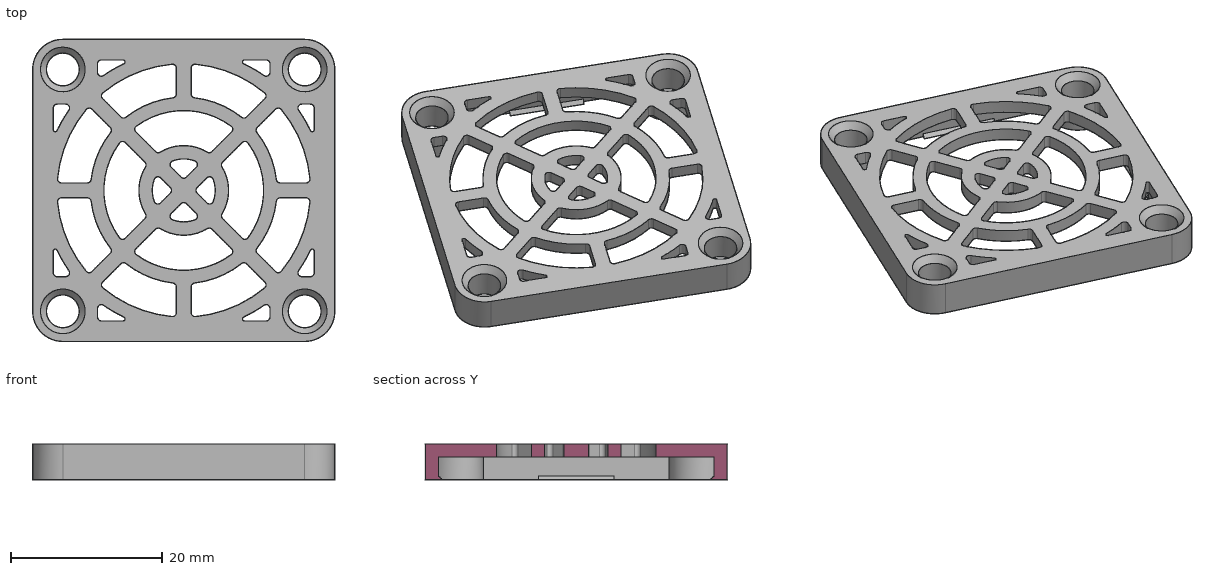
import cadquery as cq
import math

side = 40.0
height = 4.75
corner_radius = 4.0
plate_thickness = 1.75
wall_thickness = 1.8

screw_offset = side / 2 - corner_radius
screw_diameter = 4.3
countersink_diameter = 5.9
countersink_angle = 80.0
boss_radius = 3.75

rib_width = 1.8
hub_opening_radius = 4.15
middle_opening_radius = 10.55
outer_opening_radius = 16.75
spoke_width = 2.0
opening_fillet = 0.5

corner_opening_end = 11.4
corner_opening_side = 17.25
corner_opening_tip_fillet = 0.25

lip_length = 10.0
lip_depth = 0.5

spoke_half = spoke_width / 2
pocket_half = side / 2 - wall_thickness
pocket_height = height - plate_thickness
quarter_turns = (0, 90, 180, 270)
z_axis = ((0, 0, 0), (0, 0, 1))


def around(shape):
    """Return four copies of a shape, a quarter turn apart about Z."""
    copies = cq.Workplane("XY")
    for angle in quarter_turns:
        copies = copies.add(shape.rotate(*z_axis, angle).vals())
    return copies


def polar(radius, angle):
    """Return the point at a radius and an angle in degrees."""
    return (radius * math.cos(math.radians(angle)), radius * math.sin(math.radians(angle)))


def on_circle_beside_spoke(radius, spoke_angle, spoke_offset):
    """Return where a circle meets the edge of a spoke, offset to the left of its axis."""
    return polar(radius, spoke_angle + math.degrees(math.asin(spoke_offset / radius)))


def ring_opening(inner_radius, outer_radius, start_angle, end_angle):
    """Cutter for a ring sector between the spokes at two angles."""
    middle_angle = (start_angle + end_angle) / 2
    return (
        cq.Workplane("XY")
        .moveTo(*on_circle_beside_spoke(inner_radius, start_angle, spoke_half))
        .lineTo(*on_circle_beside_spoke(outer_radius, start_angle, spoke_half))
        .threePointArc(
            polar(outer_radius, middle_angle),
            on_circle_beside_spoke(outer_radius, end_angle, -spoke_half),
        )
        .lineTo(*on_circle_beside_spoke(inner_radius, end_angle, -spoke_half))
        .threePointArc(
            polar(inner_radius, middle_angle),
            on_circle_beside_spoke(inner_radius, start_angle, spoke_half),
        )
        .close()
        .extrude(height)
        .edges("|Z")
        .fillet(opening_fillet)
    )


def hub_opening():
    """Cutter for the round-backed triangle between two diagonal spokes, on the +X side."""
    end = on_circle_beside_spoke(hub_opening_radius, 45, -spoke_half)
    return (
        cq.Workplane("XY")
        .moveTo(spoke_half * math.sqrt(2), 0)
        .lineTo(end[0], -end[1])
        .threePointArc((hub_opening_radius, 0), end)
        .close()
        .extrude(height)
        .edges("|Z")
        .fillet(opening_fillet)
    )


def corner_opening():
    """Cutter for the small opening along the +Y side, next to the +X+Y screw hole."""
    arc_radius = outer_opening_radius + rib_width
    tip_x = math.sqrt(arc_radius**2 - corner_opening_side**2)
    end_y = math.sqrt(arc_radius**2 - corner_opening_end**2)
    middle_angle = math.degrees(math.atan2(corner_opening_side + end_y, tip_x + corner_opening_end))
    return (
        cq.Workplane("XY")
        .moveTo(tip_x, corner_opening_side)
        .lineTo(corner_opening_end, corner_opening_side)
        .lineTo(corner_opening_end, end_y)
        .threePointArc(polar(arc_radius, middle_angle), (tip_x, corner_opening_side))
        .close()
        .extrude(height)
        .edges("|Z and >X")
        .fillet(opening_fillet)
        .edges("|Z and <X")
        .fillet(corner_opening_tip_fillet)
    )


def frame():
    """Rounded square block hollowed from below, keeping a round boss at each corner."""
    block = cq.Workplane("XY").box(side, side, height, centered=(True, True, False))
    block = block.edges("|Z").fillet(corner_radius)
    pocket = cq.Workplane("XY").rect(2 * pocket_half, 2 * pocket_half).extrude(pocket_height)
    bosses = (
        cq.Workplane("XY")
        .rect(2 * screw_offset, 2 * screw_offset, forConstruction=True)
        .vertices()
        .circle(boss_radius)
        .extrude(pocket_height)
    )
    return block.cut(pocket.cut(bosses))


def lip():
    """Retaining lip on the +Y wall: flush with the bottom, sloping at 45 degrees on top."""
    return (
        cq.Workplane("YZ")
        .moveTo(pocket_half - lip_depth, 0)
        .lineTo(pocket_half, lip_depth)
        .lineTo(pocket_half + wall_thickness / 2, lip_depth)
        .lineTo(pocket_half + wall_thickness / 2, 0)
        .close()
        .extrude(lip_length / 2, both=True)
    )


def cut_grille(body):
    """Cut the hub, the two rings of openings and the small corner openings."""
    outer_opening = ring_opening(middle_opening_radius + rib_width, outer_opening_radius, 0, 45)
    middle_opening = ring_opening(hub_opening_radius + rib_width, middle_opening_radius, -45, 45)
    small_opening = corner_opening()
    cutters = (
        hub_opening(),
        middle_opening,
        outer_opening,
        outer_opening.mirror("XZ"),
        small_opening,
        small_opening.mirror("YZ"),
    )
    for cutter in cutters:
        for copy in around(cutter).vals():
            body = body.cut(cq.Workplane(copy))
    return body


def cut_screw_holes(body):
    """Countersunk through holes from the top face."""
    return (
        body.faces(">Z")
        .workplane(origin=(0, 0, height))
        .rect(2 * screw_offset, 2 * screw_offset, forConstruction=True)
        .vertices()
        .cskHole(screw_diameter, countersink_diameter, countersink_angle)
    )


body = frame()
for wall_lip in around(lip()).vals():
    body = body.union(cq.Workplane(wall_lip))
body = cut_grille(body)
result = cut_screw_holes(body)